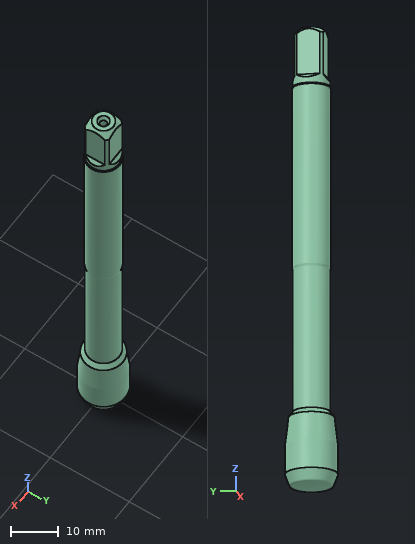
import cadquery as cq

TOTAL_LENGTH = 100.0

HEAD_RADIUS = 11.2 / 2
HEAD_TIP_RADIUS = 4.6
HEAD_TIP_Z = 0.2
HEAD_TIP_ROUND = 0.6
HEAD_LEAD_Z = 2.8
HEAD_TAPER_Z = 9.1
HEAD_SHOULDER_RADIUS = 4.9
HEAD_SHOULDER_Z = 15.2
HEAD_SHOULDER_LAND = 0.2
HEAD_TOP_Z = 16.4

SLIM_RADIUS = 7.9 / 2
GRIP_RADIUS = 8.2 / 2
GRIP_BOTTOM_Z = 47.4
GRIP_TOP_Z = 87.4
LOWER_STEP_HEIGHT = 0.5
UPPER_STEP_HEIGHT = 0.3

SQUARE_WIDTH = 6.2
SQUARE_BOTTOM_Z = 89.5
TIP_FACE_RADIUS = 2.5
TIP_CHAMFER_HEIGHT = 1.4

CENTRE_HOLE_DIAMETER = 1.6
CENTRE_HOLE_DEPTH = 3.0
COUNTERSINK_DIAMETER = 2.7
COUNTERSINK_DEPTH = 0.9
DRILL_POINT_DEPTH = 0.5


def turned(profile):
    """Revolve (radius, z) points about Z; the first and last points lie on the axis."""
    return cq.Workplane("XZ").polyline(profile).close().revolve(360, (0, 0, 0), (0, 1, 0))


def make_head():
    """Head with a shallow conical end, lead-in taper, back taper and narrow shoulder land."""
    head = turned([
        (0, 0),
        (HEAD_TIP_RADIUS, HEAD_TIP_Z),
        (HEAD_RADIUS, HEAD_LEAD_Z),
        (HEAD_RADIUS, HEAD_TAPER_Z),
        (HEAD_SHOULDER_RADIUS, HEAD_SHOULDER_Z - HEAD_SHOULDER_LAND),
        (HEAD_SHOULDER_RADIUS, HEAD_SHOULDER_Z),
        (SLIM_RADIUS, HEAD_TOP_Z),
        (0, HEAD_TOP_Z),
    ])
    return head.faces("<Z").edges("%CIRCLE").fillet(HEAD_TIP_ROUND)


def make_shaft_blank():
    """Round shaft with a conical step at each end of the grip and a chamfered tip."""
    return turned([
        (0, HEAD_TOP_Z),
        (SLIM_RADIUS, HEAD_TOP_Z),
        (SLIM_RADIUS, GRIP_BOTTOM_Z),
        (GRIP_RADIUS, GRIP_BOTTOM_Z + LOWER_STEP_HEIGHT),
        (GRIP_RADIUS, GRIP_TOP_Z - UPPER_STEP_HEIGHT),
        (SLIM_RADIUS, GRIP_TOP_Z),
        (SLIM_RADIUS, TOTAL_LENGTH - TIP_CHAMFER_HEIGHT),
        (TIP_FACE_RADIUS, TOTAL_LENGTH),
        (0, TOTAL_LENGTH),
    ])


def make_flat_cutter():
    """Prism that mills the +X flat, with a 45 degree run-out falling outward at its foot."""
    flat_x = SQUARE_WIDTH / 2
    outer_x = 2 * GRIP_RADIUS
    runout_drop = outer_x - flat_x
    return (
        cq.Workplane("XZ")
        .polyline([
            (flat_x, SQUARE_BOTTOM_Z),
            (outer_x, SQUARE_BOTTOM_Z - runout_drop),
            (outer_x, TOTAL_LENGTH),
            (flat_x, TOTAL_LENGTH),
        ])
        .close()
        .extrude(GRIP_RADIUS, both=True)
    )


def make_centre_hole():
    """Countersunk blind hole with a conical drill point."""
    hole_radius = CENTRE_HOLE_DIAMETER / 2
    hole_floor_z = TOTAL_LENGTH - CENTRE_HOLE_DEPTH
    return turned([
        (0, hole_floor_z - DRILL_POINT_DEPTH),
        (hole_radius, hole_floor_z),
        (hole_radius, TOTAL_LENGTH - COUNTERSINK_DEPTH),
        (COUNTERSINK_DIAMETER / 2, TOTAL_LENGTH),
        (0, TOTAL_LENGTH),
    ])


def make_shaft():
    shaft = make_shaft_blank()
    flat_cutter = make_flat_cutter()
    for angle in (0, 90, 180, 270):
        shaft = shaft.cut(flat_cutter.rotate((0, 0, 0), (0, 0, 1), angle))
    return shaft.cut(make_centre_hole())


head = make_head()
shaft = make_shaft()

result = cq.Compound.makeCompound([head.val(), shaft.val()])